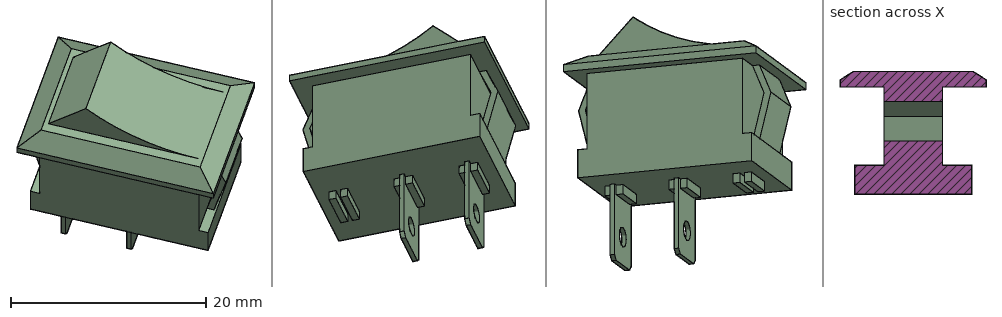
import cadquery as cq
import math

overlap = 0.12

bezel_length = 21
bezel_width = 15
bezel_lip = 0.75
bezel_height = 2
bezel_inset = 2

body_length = 17
body_width = 12
body_depth = 11
base_length = 19
base_height = 3

rocker_length = 16
rocker_width = 9
rocker_rise = 4
rocker_peak_x = -4

clip_width = 6
clip_thickness = 0.75
clip_reach = bezel_length / 2
clip_bend_z = -3

terminal_pitch = 7
socket_length = 2
socket_width = 4
socket_height = 1
blade_thickness = 0.5
blade_width = 5
blade_length = 8
blade_chamfer = 0.5
blade_hole_diameter = 2
blade_hole_from_tip = 3

base_top_z = base_height - body_depth


def make_bezel():
    lip = cq.Workplane("XY").box(bezel_length, bezel_width, bezel_lip, centered=(True, True, False))
    slope = (
        cq.Workplane("XY").workplane(offset=bezel_lip)
        .rect(bezel_length, bezel_width)
        .workplane(offset=bezel_height - bezel_lip)
        .rect(bezel_length - 2 * bezel_inset, bezel_width - 2 * bezel_inset)
        .loft(ruled=True)
    )
    return lip.union(slope)


def make_body():
    body = cq.Workplane("XY").rect(body_length, body_width).extrude(-body_depth)
    base = (
        cq.Workplane("XY").workplane(offset=-body_depth)
        .rect(base_length, body_width).extrude(base_height)
    )
    return body.union(base)


def make_rocker():
    """Wedge with a concave top whose arc meets the bezel top tangentially."""
    end_x = rocker_length / 2
    run = end_x - rocker_peak_x
    radius = (run**2 + rocker_rise**2) / (2 * rocker_rise)
    half_angle = math.asin(run / radius) / 2
    arc_middle = (
        end_x - radius * math.sin(half_angle),
        bezel_height + radius * (1 - math.cos(half_angle)),
    )
    return (
        cq.Workplane("XZ")
        .moveTo(-end_x, bezel_height)
        .lineTo(rocker_peak_x, bezel_height + rocker_rise)
        .threePointArc(arc_middle, (end_x, bezel_height))
        .lineTo(end_x, bezel_height - overlap)
        .lineTo(-end_x, bezel_height - overlap)
        .close()
        .extrude(rocker_width / 2, both=True)
    )


def make_clip():
    """Bent leaf on the -X side, from the bezel down to the base step."""
    foot_inner_x = -body_length / 2
    foot_outer_x = foot_inner_x - clip_thickness
    return (
        cq.Workplane("XZ")
        .polyline([
            (foot_outer_x, 0),
            (-clip_reach, clip_bend_z),
            (foot_outer_x, base_top_z),
            (foot_inner_x, base_top_z),
            (clip_thickness - clip_reach, clip_bend_z),
            (foot_inner_x, 0),
        ])
        .close()
        .extrude(clip_width / 2, both=True)
    )


def make_socket(x):
    return (
        cq.Workplane("XY").workplane(offset=-body_depth).center(x, 0)
        .rect(socket_length, socket_width).extrude(-socket_height)
    )


def make_blade(x):
    tip_z = -body_depth - blade_length
    top_z = overlap - body_depth
    blade = (
        cq.Workplane("XY").box(blade_thickness, blade_width, top_z - tip_z, centered=(True, True, False))
        .edges("|X and <Z").chamfer(blade_chamfer)
        .translate((x, 0, tip_z))
    )
    hole = (
        cq.Workplane("YZ", origin=(x, 0, tip_z + blade_hole_from_tip))
        .circle(blade_hole_diameter / 2).extrude(blade_thickness, both=True)
    )
    return blade.cut(hole)


def make_empty_slot(x):
    return (
        cq.Workplane("XY").workplane(offset=-body_depth).center(x, 0)
        .rect(blade_thickness, blade_width).extrude(-socket_height)
    )


result = make_body().union(make_bezel()).union(make_rocker())

left_clip = make_clip()
result = result.union(left_clip).union(left_clip.mirror("YZ"))

for socket_x in (-terminal_pitch, 0, terminal_pitch):
    result = result.union(make_socket(socket_x))

result = result.cut(make_empty_slot(terminal_pitch))
for blade_x in (-terminal_pitch, 0):
    result = result.union(make_blade(blade_x))